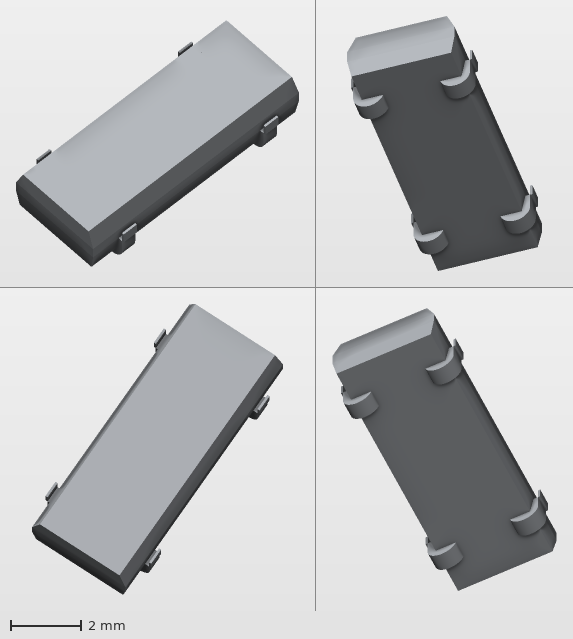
import cadquery as cq

total_height = 1.9
housing_bottom = 0.32
belt_bottom = 0.93
belt_top = 1.34

housing_width = 3.2
housing_length = 8.0
top_inset_x = 0.24
top_inset_y = 0.05
bottom_inset_x = 0.11
bottom_inset_y = 0.04

lead_span = 3.62
lead_width = 0.51
lead_spacing = 5.5
bend_radius = 0.46
tab_thickness = 0.07
tab_top = 1.31
tab_overhang = 0.06

dot_diameter = 0.16
dot_depth = 0.03
dot_x = -1.03
dot_y = lead_spacing / 2


def tapered_block(lower_z, lower_size, upper_z, upper_size):
    """Block whose rectangular section changes evenly from the lower to the upper size."""
    return (
        cq.Workplane("XY")
        .workplane(offset=lower_z)
        .rect(*lower_size)
        .workplane(offset=upper_z - lower_z)
        .rect(*upper_size)
        .loft(ruled=True)
    )


def make_housing_blank():
    """Complete housing shape, before the recess for the marker dot."""
    belt_size = (housing_width, housing_length)
    top_size = (housing_width - 2 * top_inset_x, housing_length - 2 * top_inset_y)
    bottom_size = (housing_width - 2 * bottom_inset_x, housing_length - 2 * bottom_inset_y)
    lower = tapered_block(housing_bottom, bottom_size, belt_bottom, belt_size)
    belt = tapered_block(belt_bottom, belt_size, belt_top, belt_size)
    upper = tapered_block(belt_top, belt_size, total_height, top_size)
    return lower.union(belt).union(upper)


def make_dot():
    """Thin disc that fills its recess in the top face."""
    return (
        cq.Workplane("XY")
        .workplane(offset=total_height - dot_depth)
        .center(dot_x, dot_y)
        .circle(dot_diameter / 2)
        .extrude(dot_depth)
    )


def make_lead(side, center_y, housing_shape):
    """Lead with a round foot and an upright tab; side is -1 for -X and 1 for +X."""
    tab_outer = lead_span / 2
    tab_inner = tab_outer - tab_thickness
    outer = tab_outer - tab_overhang
    inner = outer - 2 * bend_radius
    middle = outer - bend_radius
    section_plane = cq.Workplane("XZ", origin=(0, center_y + lead_width / 2, 0))
    lead = (
        section_plane
        .moveTo(side * tab_outer, tab_top)
        .lineTo(side * tab_inner, tab_top)
        .lineTo(side * tab_inner, belt_bottom)
        .lineTo(side * inner, belt_bottom)
        .lineTo(side * inner, bend_radius)
        .threePointArc((side * middle, 0), (side * outer, bend_radius))
        .lineTo(side * outer, belt_bottom)
        .lineTo(side * tab_outer, belt_bottom)
        .close()
        .extrude(lead_width)
    )
    return lead.cut(housing_shape)


housing_blank = make_housing_blank()
dot = make_dot()
housing = housing_blank.cut(dot)

leads = []
for side in (-1, 1):
    for center_y in (-lead_spacing / 2, lead_spacing / 2):
        lead = make_lead(side, center_y, housing_blank)
        leads.append(lead.solids().val())

result = cq.Compound.makeCompound([housing.solids().val(), dot.val(), *leads])